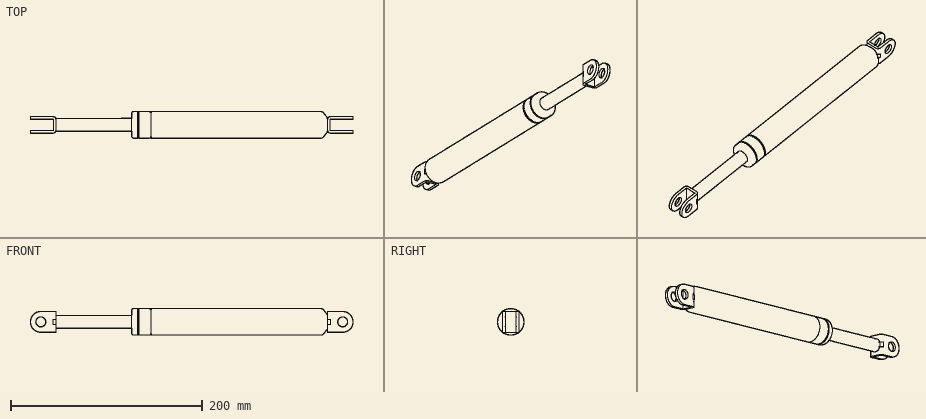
import cadquery as cq
import math

LENGTH = 338.0

FORK_LENGTH = 27.0
FORK_HEIGHT = 22.0
FORK_WIDTH = 17.5
FORK_SHEET = 3.0
FORK_BEND_RADIUS = 3.5
EYE_DIAMETER = 10.0
EAR_RADIUS = FORK_HEIGHT / 2
RELIEF_HEIGHT = 5.0

ROD_DIAMETER = 14.0

TUBE_RADIUS = 28.0 / 2
TUBE_START = 106.0
TUBE_END = LENGTH - FORK_LENGTH
FRONT_ROUND = 2.0
GROOVE_CENTRE = 113.0
GROOVE_WIDTH = 1.5
GROOVE_DEPTH = 0.5
SHOULDER_END = 126.5
SHOULDER_ROUND = 2.0
NECK_RADIUS = 7.8
CONE_LENGTH = 5.0
CONE_ROUND = 3.5


def make_fork():
    """U-shaped sheet clevis with its eyes near X = 0 and its web at X = FORK_LENGTH."""
    profile = (
        cq.Workplane("XZ")
        .moveTo(FORK_LENGTH, -EAR_RADIUS)
        .lineTo(FORK_LENGTH, EAR_RADIUS)
        .lineTo(EAR_RADIUS, EAR_RADIUS)
        .threePointArc((0, 0), (EAR_RADIUS, -EAR_RADIUS))
        .close()
        .extrude(FORK_WIDTH / 2, both=True)
    )
    fork = profile.edges("|Z and >X").fillet(FORK_BEND_RADIUS)

    gap_length = FORK_LENGTH - FORK_SHEET
    gap_width = FORK_WIDTH - 2 * FORK_SHEET
    gap = cq.Workplane("XY").box(gap_length, gap_width, FORK_HEIGHT, centered=(False, True, True))

    eyes = (
        cq.Workplane("XZ")
        .center(EAR_RADIUS, 0)
        .circle(EYE_DIAMETER / 2)
        .extrude(FORK_WIDTH, both=True)
    )
    fork = fork.cut(gap).cut(eyes)

    for side in (-1, 1):
        outer_y = side * FORK_WIDTH / 2
        relief = (
            cq.Workplane("XY")
            .polyline([
                (FORK_LENGTH - FORK_BEND_RADIUS, outer_y),
                (FORK_LENGTH, outer_y),
                (FORK_LENGTH, outer_y - side * FORK_BEND_RADIUS),
            ])
            .close()
            .extrude(RELIEF_HEIGHT / 2, both=True)
        )
        fork = fork.cut(relief)
    return fork


def make_rod():
    """Piston rod with its clevis; its far end rests on the front of the tube."""
    shaft = (
        cq.Workplane("XZ")
        .moveTo(FORK_LENGTH, 0)
        .lineTo(FORK_LENGTH, ROD_DIAMETER / 2)
        .lineTo(TUBE_START, ROD_DIAMETER / 2)
        .lineTo(TUBE_START, 0)
        .close()
        .revolve(360, (0, 0, 0), (1, 0, 0))
    )
    return make_fork().union(shaft)


def make_cylinder():
    """Turned tube with a rounded front, a groove, a rounded shoulder, a conical tail and a clevis."""
    diagonal = math.sqrt(0.5)
    shoulder_start = SHOULDER_END - SHOULDER_ROUND

    cone_start = TUBE_END - CONE_LENGTH
    cone_angle = math.atan2(TUBE_RADIUS - NECK_RADIUS, CONE_LENGTH)
    round_start = cone_start - CONE_ROUND * math.tan(cone_angle / 2)
    round_centre_radius = TUBE_RADIUS - CONE_ROUND

    def tail_round_point(angle):
        return (
            round_start + CONE_ROUND * math.sin(angle),
            round_centre_radius + CONE_ROUND * math.cos(angle),
        )

    tube = (
        cq.Workplane("XZ")
        .moveTo(TUBE_START, 0)
        .lineTo(TUBE_START, TUBE_RADIUS - FRONT_ROUND)
        .threePointArc(
            (TUBE_START + FRONT_ROUND * (1 - diagonal), TUBE_RADIUS - FRONT_ROUND * (1 - diagonal)),
            (TUBE_START + FRONT_ROUND, TUBE_RADIUS),
        )
        .lineTo(GROOVE_CENTRE - GROOVE_WIDTH / 2, TUBE_RADIUS)
        .lineTo(GROOVE_CENTRE, TUBE_RADIUS - GROOVE_DEPTH)
        .lineTo(GROOVE_CENTRE + GROOVE_WIDTH / 2, TUBE_RADIUS)
        .lineTo(shoulder_start, TUBE_RADIUS)
        .threePointArc(
            (
                shoulder_start + SHOULDER_ROUND * diagonal,
                TUBE_RADIUS - SHOULDER_ROUND * (1 - diagonal),
            ),
            (SHOULDER_END, TUBE_RADIUS - SHOULDER_ROUND),
        )
        .lineTo(SHOULDER_END, TUBE_RADIUS)
        .lineTo(round_start, TUBE_RADIUS)
        .threePointArc(tail_round_point(cone_angle / 2), tail_round_point(cone_angle))
        .lineTo(TUBE_END, NECK_RADIUS)
        .lineTo(TUBE_END, 0)
        .close()
        .revolve(360, (0, 0, 0), (1, 0, 0))
    )
    tail_fork = make_fork().mirror("YZ").translate((LENGTH, 0, 0))
    return tube.union(tail_fork)


rod = make_rod()
cylinder = make_cylinder()

result = cq.Compound.makeCompound([rod.val(), cylinder.val()])